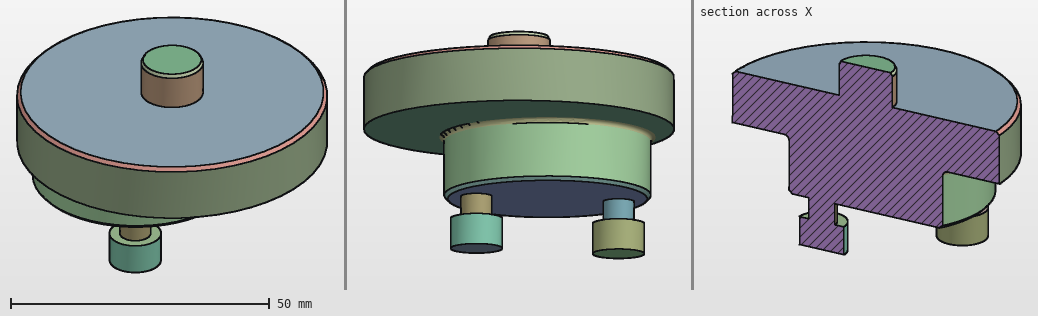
import cadquery as cq
import math

disc_diameter = 59.95
disc_thickness = 11.0
edge_chamfer = 0.7

pin_diameter = 12.0
pin_height = 7.2
pin_chamfer_height = 0.7
pin_chamfer_width = 0.35

rim_inset = 0.01
boss_diameter = 40.0
boss_height = 12.1
boss_x = (boss_diameter - disc_diameter) / 2 + rim_inset
root_fillet = 0.9

screw_circle_diameter = 28.0
screw_angles = (135, -45)
shank_diameter = 6.0
shank_length = 4.3
head_diameter = 10.0
head_height = 5.95


def cylinder(diameter, height, base_z, x=0.0, y=0.0):
    """Upright cylinder standing on the level base_z."""
    return cq.Workplane("XY", origin=(x, y, base_z)).circle(diameter / 2).extrude(height)


def make_disc():
    return cylinder(disc_diameter, disc_thickness, 0).faces(">Z").chamfer(edge_chamfer)


def make_pin():
    pin = cylinder(pin_diameter, pin_height, disc_thickness)
    return pin.faces(">Z").chamfer(pin_chamfer_height, pin_chamfer_width)


def make_boss():
    """Boss with a chamfered bottom edge and a concave root fillet, trimmed to the disc rim."""
    radius = boss_diameter / 2
    arc_inset = root_fillet * (1 - math.sqrt(0.5))
    boss = (
        cq.Workplane("XZ", origin=(boss_x, 0, 0))
        .lineTo(radius + root_fillet, 0)
        .threePointArc((radius + arc_inset, -arc_inset), (radius, -root_fillet))
        .lineTo(radius, edge_chamfer - boss_height)
        .lineTo(radius - edge_chamfer, -boss_height)
        .lineTo(0, -boss_height)
        .close()
        .revolve(360, (0, 0, 0), (0, 1, 0))
    )
    return boss.intersect(cylinder(disc_diameter, boss_height, -boss_height))


def make_screw(angle):
    """Shank and head at the given angle, in degrees, around the boss axis."""
    circle_radius = screw_circle_diameter / 2
    x = boss_x + circle_radius * math.cos(math.radians(angle))
    y = circle_radius * math.sin(math.radians(angle))
    head_top = -boss_height - shank_length
    shank = cylinder(shank_diameter, shank_length, head_top, x, y)
    head = cylinder(head_diameter, head_height, head_top - head_height, x, y)
    return shank.union(head)


result = make_disc().union(make_pin()).union(make_boss())
for screw_angle in screw_angles:
    result = result.union(make_screw(screw_angle))